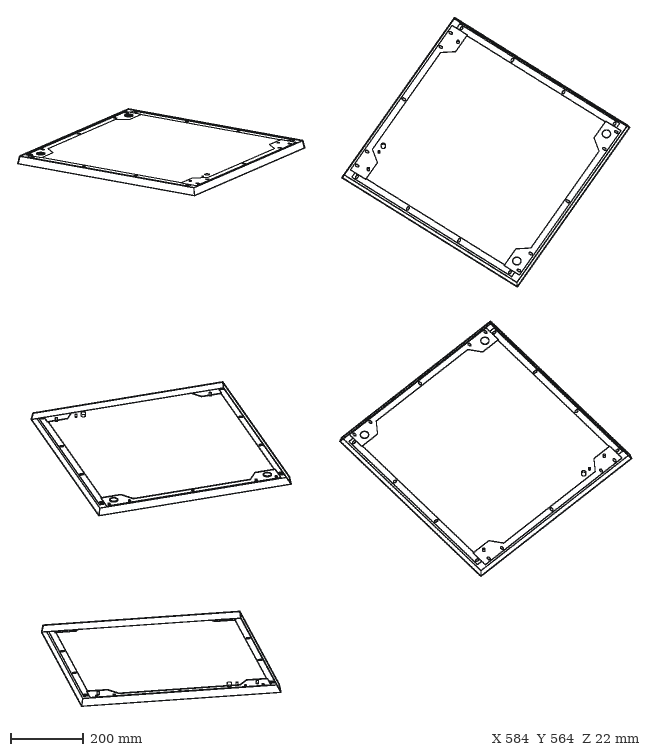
import cadquery as cq
import math

length = 584.0
width = 564.0
height = 22.0
sheet = 1.45
flare_angle = 10.0
flare_per_height = math.tan(math.radians(flare_angle))
side_wall = sheet / math.cos(math.radians(flare_angle))
underside = height - sheet

opening_x = -252.0
opening_y = 225.0
opening_diameter = 23.0

stiffener = 2.0
stiffener_bottom = underside - stiffener
slot_length = 10.5
slot_width = 6.0

plate_outer_x = 281.0
strip_inner_x = 263.5
tab_inner_x = 230.0
plate_end_y = 255.0
tab_start_y = 196.0
strip_end_y = 171.0
plate_slot_x = 272.0
inner_slot_y = 185.0
left_end_slot_y = 244.5
right_end_slot_y = 235.0

rail_end_x = 266.0
rail_outer_y = 271.0
rail_inner_y = 253.0
rail_slot_y = 262.0
inner_slot_x = 85.0
end_slot_x = 254.5

stud_length = 9.0
tab_pin_x = 241.0
tab_pin_y = opening_y
tab_pin_diameter = 7.0

cover_stud_x = 244.5
large_stud_y = -145.0
large_stud_diameter = 13.0
small_stud_y = -166.5
small_stud_diameter = 4.5


def frustum(bottom_length, bottom_width, tall):
    """Block whose four sides lean in at the flare angle."""
    inset = flare_per_height * tall
    return (
        cq.Workplane("XY")
        .rect(bottom_length, bottom_width)
        .workplane(offset=tall)
        .rect(bottom_length - 2 * inset, bottom_width - 2 * inset)
        .loft(ruled=True)
    )


def cylinder(x, y, diameter, bottom, top):
    return cq.Workplane("XY", origin=(x, y, bottom)).circle(diameter / 2).extrude(top - bottom)


def cut_pair(body, x, y, diameter):
    """Cut a round hole right through the body at (x, y) and another at (x, -y)."""
    for hole_y in (-y, y):
        body = body.cut(cylinder(x, hole_y, diameter, 0, height))
    return body


def make_cover():
    outside = frustum(length, width, height)
    inside = frustum(length - 2 * side_wall, width - 2 * side_wall, underside)
    return cut_pair(outside.cut(inside), opening_x, opening_y, opening_diameter)


def flat_plate(outline):
    plane = cq.Workplane("XY", origin=(0, 0, stiffener_bottom))
    return plane.polyline(outline).close().extrude(stiffener)


def slots(centers, angle):
    """Slot-shaped cutters as thick as a stiffener; an angle of 0 lies along X."""
    plane = cq.Workplane("XY", origin=(0, 0, stiffener_bottom))
    return plane.pushPoints(centers).slot2D(slot_length, slot_width, angle).extrude(stiffener)


def make_side_plate(side, end_slot_y):
    """Slotted plate along the -X (side -1) or +X (side +1) edge of the cover."""
    outline = [
        (plate_outer_x, -plate_end_y),
        (plate_outer_x, plate_end_y),
        (tab_inner_x, plate_end_y),
        (tab_inner_x, tab_start_y),
        (strip_inner_x, strip_end_y),
        (strip_inner_x, -strip_end_y),
        (tab_inner_x, -tab_start_y),
        (tab_inner_x, -plate_end_y),
    ]
    plate = flat_plate([(side * x, y) for x, y in outline])
    slot_ys = (-end_slot_y, -inner_slot_y, 0, inner_slot_y, end_slot_y)
    return plate.cut(slots([(side * plate_slot_x, y) for y in slot_ys], 0))


def make_left_plate():
    plate = make_side_plate(-1, left_end_slot_y)
    return cut_pair(plate, opening_x, opening_y, opening_diameter)


def make_right_plate():
    plate = make_side_plate(1, right_end_slot_y)
    return cut_pair(plate, tab_pin_x, tab_pin_y, tab_pin_diameter)


def make_rail(side):
    """Slotted rail along the -Y (side -1) or +Y (side +1) edge of the cover."""
    outline = [
        (-rail_end_x, rail_outer_y),
        (rail_end_x, rail_outer_y),
        (rail_end_x, plate_end_y),
        (tab_inner_x, plate_end_y),
        (tab_inner_x, rail_inner_y),
        (-tab_inner_x, rail_inner_y),
        (-tab_inner_x, plate_end_y),
        (-rail_end_x, plate_end_y),
    ]
    rail = flat_plate([(x, side * y) for x, y in outline])
    slot_xs = (-end_slot_x, -inner_slot_x, inner_slot_x, end_slot_x)
    return rail.cut(slots([(x, side * rail_slot_y) for x in slot_xs], 90))


def make_stud(x, y, diameter):
    """Round stud hanging from the underside of the cover."""
    return cylinder(x, y, diameter, underside - stud_length, underside)


cover = make_cover()
left_plate = make_left_plate()
right_plate = make_right_plate()
rails = [make_rail(side) for side in (-1, 1)]
tab_pins = [make_stud(tab_pin_x, y, tab_pin_diameter) for y in (-tab_pin_y, tab_pin_y)]
large_stud = make_stud(cover_stud_x, large_stud_y, large_stud_diameter)
small_stud = make_stud(cover_stud_x, small_stud_y, small_stud_diameter)

bodies = [cover, left_plate, right_plate, *rails, *tab_pins, large_stud, small_stud]
result = cq.Compound.makeCompound([body.solids().val() for body in bodies])